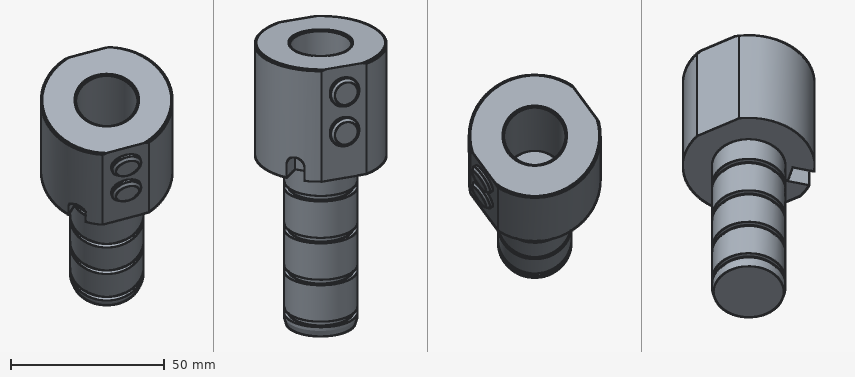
import cadquery as cq
import math

total_height = 100.0
head_height = 40.0
shank_height = total_height - head_height

head_diameter = 43.0
across_flats = 40.0
head_chamfer = 0.5

bore_diameter = 20.0
bore_depth = head_height
bore_chamfer = 0.5

shank_diameter = 24.0
groove_diameter = 21.1
groove_width = 2.0
groove_count = 4
groove_pitch = 15.0
first_groove_bottom = 3.6
tip_height = 2.2
tip_angle = 15.0

screw_count = 2
screw_diameter = 10.0
screw_projection = 2.0
screw_chamfer = 1.0
upper_screw_depth = 9.0
screw_spacing = 14.2

notch_width = 6.3
notch_height = 7.9
notch_floor_radius = 14.0
notch_angle = -45.0


def make_head():
    head = cq.Workplane("XY").workplane(offset=shank_height).circle(head_diameter / 2).extrude(head_height)
    head = head.faces(">Z").chamfer(head_chamfer)
    flats = cq.Workplane("XY").box(across_flats, head_diameter, total_height, centered=(True, True, False))
    return head.intersect(flats)


def make_shank():
    shank = cq.Workplane("XY").circle(shank_diameter / 2).extrude(shank_height)
    shank = shank.cut(make_tip_ring())
    for index in range(groove_count):
        groove_bottom = first_groove_bottom + index * groove_pitch
        groove = (
            cq.Workplane("XY")
            .workplane(offset=groove_bottom)
            .circle(shank_diameter / 2)
            .circle(groove_diameter / 2)
            .extrude(groove_width)
        )
        shank = shank.cut(groove)
    return shank


def make_tip_ring():
    """Triangular ring removed to taper the lower end of the shank."""
    shank_radius = shank_diameter / 2
    tip_inset = tip_height * math.tan(math.radians(tip_angle))
    return (
        cq.Workplane("XZ")
        .moveTo(shank_radius - tip_inset, 0)
        .lineTo(shank_radius, 0)
        .lineTo(shank_radius, tip_height)
        .close()
        .revolve(360, (0, 0, 0), (0, 1, 0))
    )


def make_bore():
    bore = cq.Workplane("XY").workplane(offset=total_height - bore_depth)
    bore = bore.circle(bore_diameter / 2).extrude(bore_depth)
    mouth = (
        cq.Workplane("XY")
        .workplane(offset=total_height)
        .circle(bore_diameter / 2 + bore_chamfer)
        .extrude(-bore_chamfer, taper=45)
    )
    return bore.union(mouth)


def make_screw(height):
    screw = cq.Workplane("YZ", origin=(across_flats / 2, 0, height))
    screw = screw.circle(screw_diameter / 2).extrude(screw_projection)
    return screw.faces(">X").chamfer(screw_chamfer)


def make_notch():
    half_width = notch_width / 2
    wall_height = notch_height - half_width
    notch = (
        cq.Workplane("YZ", origin=(notch_floor_radius, 0, shank_height))
        .moveTo(-half_width, 0)
        .lineTo(half_width, 0)
        .lineTo(half_width, wall_height)
        .threePointArc((0, notch_height), (-half_width, wall_height))
        .close()
        .extrude(head_diameter / 2)
    )
    return notch.rotate((0, 0, 0), (0, 0, 1), notch_angle)


result = make_head().union(make_shank()).cut(make_bore()).cut(make_notch())
for screw_index in range(screw_count):
    screw_height = total_height - upper_screw_depth - screw_index * screw_spacing
    result = result.union(make_screw(screw_height))